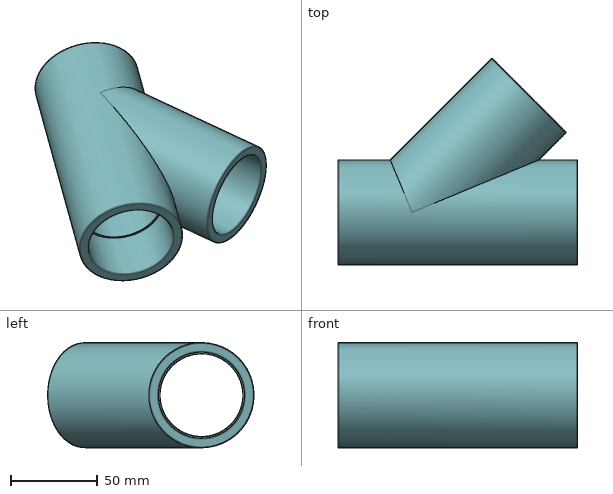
import cadquery as cq

outer_diameter = 61.0
socket_diameter = 50.0
bore_diameter = 48.0
inlet_length = 43.0
outlet_length = 96.0
branch_angle = 45.0
socket_depth = 31.0
edge_radius = 0.5


def rod(diameter, start, end):
    """Solid cylinder along X from start to end."""
    return cq.Workplane("YZ").workplane(offset=start).circle(diameter / 2).extrude(end - start)


def rounded_rod(start, end, rounded_ends):
    """Outer body of a pipe along X with the selected end rims rounded."""
    return rod(outer_diameter, start, end).faces(rounded_ends).edges().fillet(edge_radius)


def socket(end):
    """Cutter for a socket opening at x = end towards +X, flared at its mouth."""
    radius = socket_diameter / 2
    profile = (
        cq.Workplane("XY")
        .moveTo(end - socket_depth, 0)
        .lineTo(end - socket_depth, radius)
        .lineTo(end - edge_radius, radius)
        .radiusArc((end, radius + edge_radius), -edge_radius)
        .lineTo(end, 0)
        .close()
    )
    return profile.revolve(360, (0, 0, 0), (1, 0, 0))


def turned(body, angle):
    """Rotate a body about the Z axis through the junction point."""
    return body.rotate((0, 0, 0), (0, 0, 1), angle)


body = rounded_rod(-inlet_length, outlet_length, "<X or >X")
body = body.union(turned(rounded_rod(0, outlet_length, ">X"), branch_angle))

body = body.cut(rod(bore_diameter, -inlet_length, outlet_length))
body = body.cut(turned(rod(bore_diameter, 0, outlet_length), branch_angle))

for length, angle in ((inlet_length, 180), (outlet_length, 0), (outlet_length, branch_angle)):
    body = body.cut(turned(socket(length), angle))

result = body